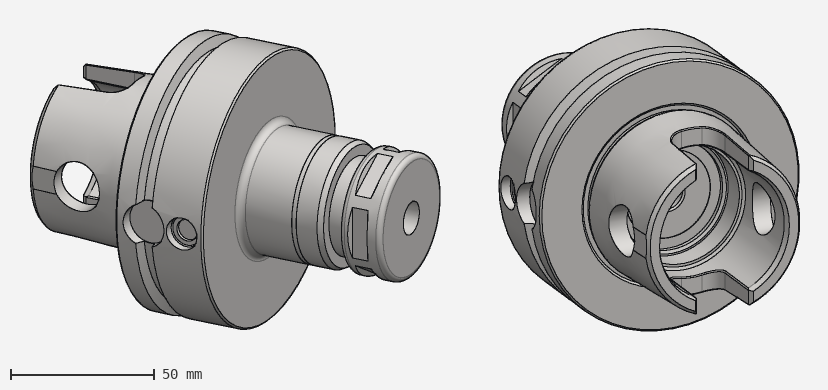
import cadquery as cq
import math


total_length = 135.0
taper_end = 43.0
flange_start = 44.7
flange_end = 79.1
body_end = 112.0
nut_start = 118.8

nose_radius = 28.6
nose_chamfer = 1.6
taper_end_radius = 31.9
taper_slope = 1 / 20
relief_radius = 31.3
flange_radius = 100.0 / 2
flange_chamfer = 0.7
body_radius = 46.2 / 2
body_end_radius = 44.0 / 2
body_chamfer_length = 2.0
body_fillet = 2.7
neck_radius = 36.0 / 2
nut_radius = 46.0 / 2
nut_fillet = 1.9

ring_outer_radius = 33.9
ring_floor_radius = 33.1
ring_depth = 0.7

groove_start = 52.5
groove_end = 59.0
groove_wall_run = 1.2
groove_radius = 46.0

band_start = 100.0
band_end = 101.8
band_radius = 46.0 / 2

mouth_radius = 25.0
mouth_chamfer_length = 2.4
shank_bore_radius = 24.2
shank_bore_end = 34.2
shoulder_radius = 46.0 / 2
shoulder_x = 34.7
clamp_bore_radius = 44.0 / 2
clamp_bore_end = 43.9
step_radius = 21.3
pocket_radius = 20.1
pocket_start = 44.4
pocket_end = 46.2
floor_recess_radius = 32.5 / 2
floor_recess_depth = 0.3
through_radius = 12.0 / 2
through_chamfer = 0.7

slot_half_width = 10.0
slot_end = 26.9
slot_corner_radius = 6.1
slot_mouth_chamfer = 1.1
slot_mouth_length = 1.6
slot_edge_chamfer = 0.4

cross_hole_x = 19.3
cross_hole_diameter = 18.5
flat_width = 8.6
notch_x = 55.9
notch_diameter = 16.0
notch_floor = 45.0
coolant_x = 70.9
coolant_mouth_diameter = 12.0
coolant_floor_diameter = 11.2
coolant_core_diameter = 8.0
coolant_depth = 4.0
coolant_core_depth = 1.4

pocket_count = 6
wrench_floor = 20.9
wrench_start = 122.0
wrench_stop = 129.7
wrench_wall_run = 0.8

AXIS_START = (0, 0, 0)
AXIS_END = (1, 0, 0)


def taper_radius(x):
    return taper_end_radius - taper_slope * (taper_end - x)


def turned(outline):
    """Solid of revolution about X from a closed (x, radius) outline."""
    return outline.close().revolve(360, AXIS_START, AXIS_END)


def make_blank():
    arc_side = math.sqrt(0.5)
    body_start = flange_end + body_fillet
    body_arc_mid = (
        body_start - body_fillet * arc_side,
        body_radius + body_fillet * (1 - arc_side),
    )
    blank = turned(
        cq.Workplane("XY")
        .moveTo(0, 0)
        .lineTo(0, nose_radius)
        .lineTo(nose_chamfer, taper_radius(nose_chamfer))
        .lineTo(taper_end, taper_end_radius)
        .lineTo(taper_end + (taper_end_radius - relief_radius), relief_radius)
        .lineTo(flange_start + ring_depth, relief_radius)
        .lineTo(flange_start + ring_depth, ring_floor_radius)
        .lineTo(flange_start, ring_outer_radius)
        .lineTo(flange_start, flange_radius - flange_chamfer)
        .lineTo(flange_start + flange_chamfer, flange_radius)
        .lineTo(groove_start, flange_radius)
        .lineTo(groove_start + groove_wall_run, groove_radius)
        .lineTo(groove_end - groove_wall_run, groove_radius)
        .lineTo(groove_end, flange_radius)
        .lineTo(flange_end - flange_chamfer, flange_radius)
        .lineTo(flange_end, flange_radius - flange_chamfer)
        .lineTo(flange_end, body_radius + body_fillet)
        .threePointArc(body_arc_mid, (body_start, body_radius))
        .lineTo(band_start, body_radius)
        .lineTo(band_start, band_radius)
        .lineTo(band_end, band_radius)
        .lineTo(band_end, body_radius)
        .lineTo(body_end - body_chamfer_length, body_radius)
        .lineTo(body_end, body_end_radius)
        .lineTo(body_end, neck_radius)
        .lineTo(total_length, neck_radius)
        .lineTo(total_length, 0)
    )
    nut = (
        cq.Workplane("YZ", origin=(nut_start, 0, 0))
        .circle(nut_radius)
        .extrude(total_length - nut_start)
        .edges()
        .fillet(nut_fillet)
    )
    return blank.union(nut)


def make_bore():
    floor = pocket_end + floor_recess_depth
    return turned(
        cq.Workplane("XY")
        .moveTo(0, 0)
        .lineTo(0, mouth_radius)
        .lineTo(mouth_chamfer_length, shank_bore_radius)
        .lineTo(shank_bore_end, shank_bore_radius)
        .lineTo(shoulder_x, shoulder_radius)
        .lineTo(shoulder_x, clamp_bore_radius)
        .lineTo(clamp_bore_end, clamp_bore_radius)
        .lineTo(clamp_bore_end, step_radius)
        .lineTo(pocket_start, pocket_radius)
        .lineTo(pocket_end, pocket_radius)
        .lineTo(pocket_end, floor_recess_radius)
        .lineTo(floor, floor_recess_radius)
        .lineTo(floor, through_radius + through_chamfer)
        .lineTo(floor + through_chamfer, through_radius)
        .lineTo(total_length, through_radius)
        .lineTo(total_length, 0)
    )


def cut_drive_slots(shank):
    """Cut the slot through both walls, bevel its inner and outer rims and widen its mouth."""
    height = 2 * flange_radius
    slot = (
        cq.Workplane("XY")
        .box(2 * slot_end, 2 * slot_half_width, height)
        .edges("|Z")
        .fillet(slot_corner_radius)
    )
    mouth_half_width = slot_half_width + slot_mouth_chamfer
    mouth = (
        cq.Workplane("XY", origin=(0, 0, -height / 2))
        .moveTo(0, -mouth_half_width)
        .lineTo(slot_mouth_length, -slot_half_width)
        .lineTo(slot_mouth_length, slot_half_width)
        .lineTo(0, mouth_half_width)
        .close()
        .extrude(height)
    )
    slotted = shank.cut(slot)
    zone_length = slot_end + slot_edge_chamfer
    zone_half_width = slot_half_width + slot_edge_chamfer
    rim_edges = [
        edge
        for edge in slotted.edges("not |Z").vals()
        if mouth_chamfer_length < edge.Center().x < zone_length
        and abs(edge.Center().y) < zone_half_width
        and abs(edge.Center().z) > pocket_radius
    ]
    return slotted.newObject(rim_edges).chamfer(slot_edge_chamfer).cut(mouth)


def radial_cylinder(x, diameter, start, end):
    """Cylinder along -Y between two distances from the axis."""
    return (
        cq.Workplane("XZ", origin=(x, -start, 0))
        .circle(diameter / 2)
        .extrude(end - start)
    )


def make_shank_flat():
    """Narrow flat along the taper from its nose to the cross hole."""
    half = flat_width / 2
    sagitta = taper_radius(0) - math.sqrt(taper_radius(0) ** 2 - half**2)
    return (
        cq.Workplane("XY", origin=(0, 0, -half))
        .moveTo(0, -taper_radius(0) + sagitta)
        .lineTo(cross_hole_x, -taper_radius(cross_hole_x) + sagitta)
        .lineTo(cross_hole_x, -flange_radius)
        .lineTo(0, -flange_radius)
        .close()
        .extrude(flat_width)
    )


def make_coolant_hole():
    """Flat-bottomed hole with a bevelled floor edge and a shallow central recess."""
    bevel = (coolant_mouth_diameter - coolant_floor_diameter) / 2
    floor = flange_radius - coolant_depth
    hole = radial_cylinder(coolant_x, coolant_mouth_diameter, floor, flange_radius)
    core = radial_cylinder(coolant_x, coolant_core_diameter, floor - coolant_core_depth, floor)
    return hole.faces(">Y").chamfer(bevel).union(core)


def make_wrench_pocket():
    """Flat-floored pocket with sloping ends, on the -Y side of the nut."""
    return (
        cq.Workplane("XY", origin=(0, 0, -nut_radius))
        .moveTo(wrench_start, -nut_radius)
        .lineTo(wrench_start + wrench_wall_run, -wrench_floor)
        .lineTo(wrench_stop - wrench_wall_run, -wrench_floor)
        .lineTo(wrench_stop, -nut_radius)
        .close()
        .extrude(2 * nut_radius)
    )


result = cut_drive_slots(make_blank().cut(make_bore()))

side_features = [
    make_shank_flat(),
    radial_cylinder(cross_hole_x, cross_hole_diameter, 0, flange_radius),
    radial_cylinder(notch_x, notch_diameter, notch_floor, flange_radius),
    make_coolant_hole(),
]
for angle in (0, 180):
    for feature in side_features:
        result = result.cut(feature.rotate(AXIS_START, AXIS_END, angle))

for index in range(pocket_count):
    angle = index * 360 / pocket_count
    result = result.cut(make_wrench_pocket().rotate(AXIS_START, AXIS_END, angle))